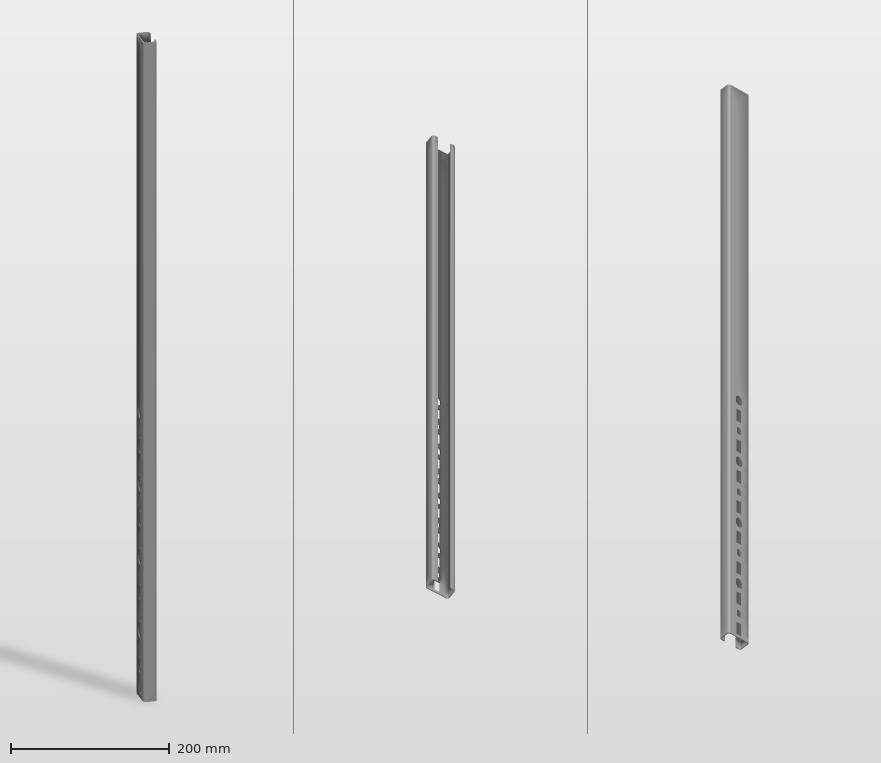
import cadquery as cq

width = 35.0
depth = 17.87
length = 900.0
thickness = 1.5
bend_radius = 3.45
lip_width = 8.0

slot_pitch = 50.0
slot_count = 8
first_slot_z = 14.0
slot_length = 20.0
slot_width = 8.0
small_length = 11.5
small_width = 7.5
large_length = 15.0
large_width = 10.5


def make_rail():
    """Extrude the C section, with the web on the -Y side and the open mouth on the +Y side."""
    inner_width = width - 2 * thickness
    inner_depth = depth - 2 * thickness
    mouth_width = width - 2 * lip_width
    outer = cq.Workplane("XY").rect(width, depth).extrude(length)
    outer = outer.edges("|Z").fillet(bend_radius)
    cavity = cq.Workplane("XY").rect(inner_width, inner_depth).extrude(length)
    cavity = cavity.edges("|Z").fillet(bend_radius - thickness)
    mouth = cq.Workplane("XY").center(0, depth / 2).rect(mouth_width, depth).extrude(length)
    return outer.cut(cavity).cut(mouth)


def web_points(first_z, pitch, count):
    """Workplane on the outer face of the web, with points in a vertical row on its centre line."""
    row = [(0, first_z + i * pitch) for i in range(count)]
    return cq.Workplane("XZ", origin=(0, -depth / 2, 0)).pushPoints(row)


def punch(rail, outlines):
    """Cut closed outlines through the web only."""
    return rail.cut(outlines.extrude(-thickness))


def punch_rectangular_slots(rail):
    slots = web_points(first_slot_z, slot_pitch, slot_count)
    return punch(rail, slots.rect(slot_width, slot_length))


def punch_round_ended_holes(rail):
    """One hole midway above each rectangular slot, small and large in turn."""
    first_small_z = first_slot_z + slot_pitch / 2
    first_large_z = first_small_z + slot_pitch
    pitch = 2 * slot_pitch
    count = slot_count // 2
    small = web_points(first_small_z, pitch, count)
    large = web_points(first_large_z, pitch, count)
    rail = punch(rail, small.slot2D(small_length, small_width, 90))
    return punch(rail, large.slot2D(large_length, large_width, 90))


result = make_rail()
result = punch_rectangular_slots(result)
result = punch_round_ended_holes(result)